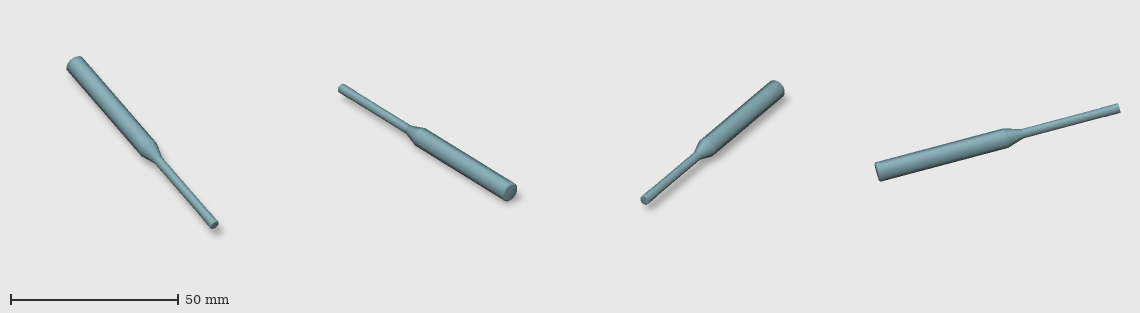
import cadquery as cq

overall_length = 75.0
shank_length = 39.8
cone_length = 5.2
tip_length = 5.2

shank_diameter = 6.0
tip_diameter = 3.0
neck_diameter = 2.85

shank_chamfer = 0.4
tip_fillet = 0.2

shank_start = 0.0
cone_start = shank_start + shank_length
neck_start = cone_start + cone_length
tip_end = shank_start + overall_length
tip_start = tip_end - tip_length


def cylinder(start, end, diameter):
    """Round bar on the X axis between two stations."""
    return cq.Workplane("YZ", origin=(start, 0, 0)).circle(diameter / 2).extrude(end - start)


shank = cylinder(shank_start, cone_start, shank_diameter).faces("<X").chamfer(shank_chamfer)

cone = (
    cq.Workplane("YZ", origin=(cone_start, 0, 0))
    .circle(shank_diameter / 2)
    .workplane(offset=cone_length)
    .circle(neck_diameter / 2)
    .loft()
)

neck = cylinder(neck_start, tip_start, neck_diameter)

tip = cylinder(tip_start, tip_end, tip_diameter).faces(">X").edges().fillet(tip_fillet)

result = shank.union(cone).union(neck).union(tip)